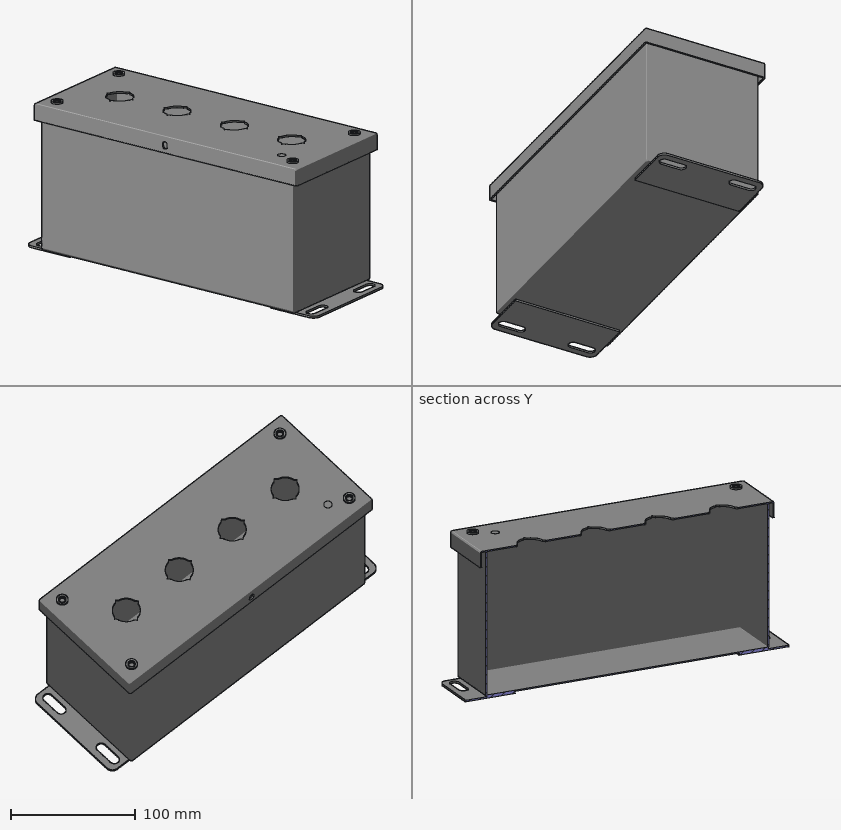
import cadquery as cq

OVERALL_LENGTH = 289.0
OVERALL_HEIGHT = 128.0
SHEET = 1.5

COVER_LENGTH = 262.5
COVER_WIDTH = 109.5
COVER_HEIGHT = 14.2
COVER_BEND = 1.7

END_OVERHANG = 4.5
SIDE_OVERHANG = 3.8
HOUSING_LENGTH = COVER_LENGTH - 2 * END_OVERHANG
HOUSING_WIDTH = COVER_WIDTH - 2 * SIDE_OVERHANG
HOUSING_BEND = 1.7

FOOT_THICKNESS = 1.7
FOOT_LENGTH = 44.5
FOOT_WIDTH = 95.0
FOOT_CORNER = 6.0
SLOT_DIAMETER = 8.0
SLOT_LENGTH = 23.7
SLOT_X = 134.5
SLOT_Y = 31.8

HEAD_DIAMETER = 9.5
HEAD_HEIGHT = 1.5
HEAD_X = 117.5
HEAD_Y = 41.3
SOCKET_DIAMETER = 4.5
SOCKET_DEPTH = 2.3
RECESS_DIAMETER = 6.0
RECESS_DEPTH = 1.0

BUTTON_COUNT = 4
BUTTON_PITCH = 57.2
BUTTON_DIAMETER = 22.5
NOTCH_SPAN = 26.0

PLUG_DIAMETER = 6.6
PLUG_X = 101.0
PLUG_Y = -34.0

VENT_WIDTH = 4.5
VENT_HEIGHT = 6.5
VENT_RISE = 6.6

COVER_TOP = OVERALL_HEIGHT - HEAD_HEIGHT
COVER_BOTTOM = COVER_TOP - COVER_HEIGHT
COVER_UNDERSIDE = COVER_TOP - SHEET
HOUSING_HEIGHT = COVER_UNDERSIDE - FOOT_THICKNESS


def plane_at(height):
    """Horizontal workplane at the given height."""
    return cq.Workplane("XY").workplane(offset=height)


def block(length, width, height, bottom):
    """Box centred on the Z axis, standing on the given height."""
    return plane_at(bottom).rect(length, width).extrude(height)


def make_foot(side):
    """Slotted mounting strip under one end of the housing; side is -1 or +1."""
    foot_x = side * (OVERALL_LENGTH - FOOT_LENGTH) / 2
    outer_edges = "|Z and >X" if side > 0 else "|Z and <X"
    foot = (
        block(FOOT_LENGTH, FOOT_WIDTH, FOOT_THICKNESS, 0)
        .translate((foot_x, 0, 0))
        .edges(outer_edges)
        .fillet(FOOT_CORNER)
    )
    slots = (
        cq.Workplane("XY")
        .pushPoints([(side * SLOT_X, -SLOT_Y), (side * SLOT_X, SLOT_Y)])
        .slot2D(SLOT_LENGTH, SLOT_DIAMETER, 90)
        .extrude(FOOT_THICKNESS)
    )
    return foot.cut(slots)


def make_housing():
    """Open-topped sheet box with a foot welded under each end."""
    box = (
        block(HOUSING_LENGTH, HOUSING_WIDTH, HOUSING_HEIGHT, FOOT_THICKNESS)
        .edges("|Z or <Z")
        .fillet(HOUSING_BEND)
        .faces(">Z")
        .shell(-SHEET)
    )
    for side in (-1, 1):
        box = box.union(make_foot(side))
    return box


def make_button_cutter():
    """Round openings, each with four right-angled notches, along the cover."""
    first_x = -BUTTON_PITCH * (BUTTON_COUNT - 1) / 2
    centres = [(first_x + i * BUTTON_PITCH, 0) for i in range(BUTTON_COUNT)]
    floor = plane_at(COVER_UNDERSIDE)
    rounds = floor.pushPoints(centres).circle(BUTTON_DIAMETER / 2).extrude(SHEET)
    notches = floor.pushPoints(centres).polygon(4, NOTCH_SPAN).extrude(SHEET)
    return rounds.union(notches)


def make_vent_cutter():
    """Upright slot through the front (-Y) skirt of the cover."""
    return (
        cq.Workplane("XZ", origin=(0, -COVER_WIDTH / 2 + SHEET, COVER_BOTTOM + VENT_RISE))
        .slot2D(VENT_HEIGHT, VENT_WIDTH, 90)
        .extrude(SHEET)
    )


def make_plug():
    """Disc filling its hole in the cover from underside to top."""
    return plane_at(COVER_UNDERSIDE).center(PLUG_X, PLUG_Y).circle(PLUG_DIAMETER / 2).extrude(SHEET)


def add_screw_heads(cover):
    """Raised round heads near the corners, each with a recess stepping down to a narrower socket."""
    centres = [(x, y) for x in (-HEAD_X, HEAD_X) for y in (-HEAD_Y, HEAD_Y)]
    heads = plane_at(COVER_TOP).pushPoints(centres).circle(HEAD_DIAMETER / 2).extrude(HEAD_HEIGHT)
    cover = cover.union(heads)
    for diameter, depth in ((RECESS_DIAMETER, RECESS_DEPTH), (SOCKET_DIAMETER, SOCKET_DEPTH)):
        bores = plane_at(OVERALL_HEIGHT - depth).pushPoints(centres).circle(diameter / 2).extrude(depth)
        cover = cover.cut(bores)
    return cover


def make_cover():
    """Sheet lid with a skirt all round, openings and screw heads."""
    lid = (
        block(COVER_LENGTH, COVER_WIDTH, COVER_HEIGHT, COVER_BOTTOM)
        .edges("|Z or >Z")
        .fillet(COVER_BEND)
        .faces("<Z")
        .shell(-SHEET)
    )
    lid = lid.cut(make_button_cutter()).cut(make_vent_cutter()).cut(make_plug())
    return add_screw_heads(lid)


housing = make_housing()
cover = make_cover()
plug = make_plug()

result = cq.Compound.makeCompound([housing.val(), cover.val(), plug.val()])